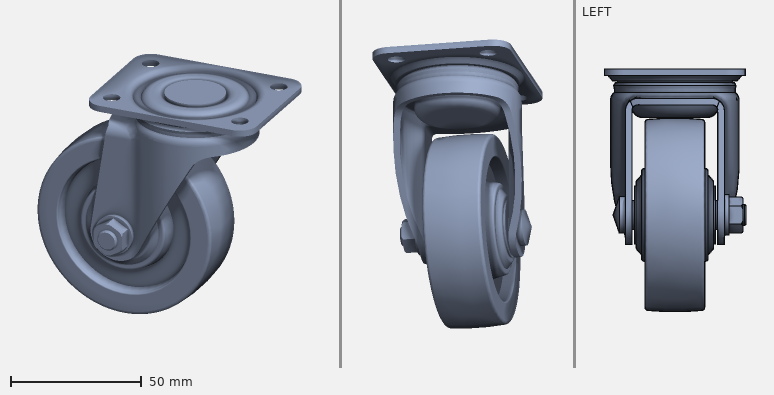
import cadquery as cq
import math

SWIVEL_X = 24.9
SHEET = 2.5

PLATE_TOP = 55.8
PLATE_BOTTOM = PLATE_TOP - SHEET
PLATE_LENGTH = 69.7
PLATE_WIDTH = 54.0
PLATE_CORNER_RADIUS = 7.2
MOUNT_HOLE_DIAMETER = 6.7
MOUNT_HOLE_SPACING_X = 53.9
MOUNT_HOLE_SPACING_Y = 35.9
DISH_DEPTH = 2.0
DISH_FLOOR = PLATE_TOP - DISH_DEPTH
DISH_BOTTOM = PLATE_BOTTOM - DISH_DEPTH
DISH_OUTER_RADIUS = 26.9
DISH_FLOOR_OUTER_RADIUS = 23.5
DISH_FLOOR_INNER_RADIUS = 20.8
CREST_OUTER_RADIUS = 17.2
CREST_INNER_RADIUS = 15.8
DISH_RIM_RADIUS_BELOW = 25.6
DISH_BASE_RADIUS_BELOW = 23.8
PIN_RADIUS = 11.8
PIN_GROOVE_DEPTH = 1.8
BEARING_NECK_RADIUS = 22.0

RACE_TOP = 50.6
RACE_TOP_RADIUS = 22.8
RACE_RIM_RADIUS = 23.4
RACE_RIM_Z = 49.4
RACE_NECK_RADIUS = 23.2
RACE_NECK_Z = 48.2
CROWN_TOP = 47.7
CROWN_RADIUS = 24.6
CROWN_FILLET = 3.9
SKIRT_BOTTOM = 39.1
BOWL_RADIUS = 16.6
BOWL_BOTTOM = 37.2
BOWL_FILLET = 4.4
SHOULDER_TOP = 44.6
LEG_OUTER_Y = 18.9
LEG_INNER_Y = LEG_OUTER_Y - SHEET
SHOULDER_BEND = 4.65
SIDE_BLEND = 7.75
SIDE_BLEND_INSIDE = 4.8
LEG_END_RADIUS = 10.85
LEG_END_CENTRE = (0.4, -0.5)
LEG_FRONT_TOP_X = -3.6
LEG_REAR_CORNER_X = 36.0
LEG_REAR_FILLET = 8.3
LIP_FRONT_X = -7.0
LIP_HALF_WIDTH = 17.4

TREAD_RADIUS = 37.1
TREAD_EDGE_RADIUS = 36.4
TREAD_FILLET = 1.3
WHEEL_HALF_WIDTH = 11.4
RECESS_LIP_RADIUS = 27.9
RECESS_LIP_FILLET = 0.6
RECESS_FLOOR_RADIUS = 26.8
RECESS_FLOOR_Y = 6.8
HUB_ROOT_RADIUS = 18.9
HUB_EDGE_RADIUS = 17.5
HUB_EDGE_FILLET = 1.0
HUB_FACE_Y = 12.7
HUB_CONE_ROOT_RADIUS = 15.3
HUB_CONE_TIP_RADIUS = 12.9
HUB_CONE_Y = 14.8
HUB_CONE_FILLET = 1.2
BEARING_RADIUS = 11.1
BEARING_Y = 15.5
SPACER_RADIUS = 5.6

AXLE_RADIUS = 4.1
AXLE_TIP_OVERHANG = 0.3
AXLE_TIP_Y = -PLATE_WIDTH / 2 - AXLE_TIP_OVERHANG
AXLE_TIP_CHAMFER = 0.6
HEAD_RADIUS = 7.0
HEAD_THICKNESS = 2.3
HEAD_CROWN = 2.4
WASHER_RADIUS = 7.75
WASHER_THICKNESS = 1.8
NUT_THICKNESS = 5.3
NUT_ACROSS_FLATS = 12.0
NUT_CORNER_RADIUS = NUT_ACROSS_FLATS / math.sqrt(3)
NUT_CHAMFER = 0.6
NUT_SIDES = 6
NUT_TURN = 180 / NUT_SIDES

FAR = 96.9
SEAM_MARGIN = 1.0


def swivel_plane():
    """Radius and height plane through the swivel axis."""
    return cq.Workplane("XZ", origin=(SWIVEL_X, 0, 0))


def spin(profile):
    """Revolve a closed radius and height profile about the vertical axis of its plane."""
    return profile.close().revolve(360, (0, 0), (0, 1))


def disc(radius, bottom, top):
    return cq.Workplane("XY", origin=(SWIVEL_X, 0, bottom)).circle(radius).extrude(top - bottom)


def y_cylinder(radius, start, end):
    """Cylinder on the wheel axle between two Y positions."""
    return cq.Workplane("XZ", origin=(0, start, 0)).circle(radius).extrude(start - end)


def convex_middle(crest, foot):
    """Middle of an arc that leaves its crest level and falls away to its foot."""
    run = foot[0] - crest[0]
    drop = crest[1] - foot[1]
    radius = (run**2 + drop**2) / (2 * drop)
    half_turn = math.atan2(drop, abs(run))
    side = math.copysign(1, run)
    return (
        crest[0] + side * radius * math.sin(half_turn),
        crest[1] - radius * (1 - math.cos(half_turn)),
    )


def make_plate():
    plate = (
        cq.Workplane("XY", origin=(SWIVEL_X, 0, PLATE_BOTTOM))
        .rect(PLATE_LENGTH, PLATE_WIDTH)
        .extrude(SHEET)
        .edges("|Z")
        .fillet(PLATE_CORNER_RADIUS)
        .faces(">Z")
        .workplane(origin=(SWIVEL_X, 0, 0))
        .rect(MOUNT_HOLE_SPACING_X, MOUNT_HOLE_SPACING_Y, forConstruction=True)
        .vertices()
        .hole(MOUNT_HOLE_DIAMETER)
    )
    underside = spin(
        swivel_plane()
        .moveTo(0, PLATE_BOTTOM)
        .lineTo(DISH_RIM_RADIUS_BELOW, PLATE_BOTTOM)
        .lineTo(DISH_BASE_RADIUS_BELOW, DISH_BOTTOM)
        .lineTo(BEARING_NECK_RADIUS, DISH_BOTTOM)
        .lineTo(BEARING_NECK_RADIUS, RACE_TOP)
        .lineTo(0, RACE_TOP)
    )
    pin = disc(PIN_RADIUS, BOWL_BOTTOM + SHEET, PLATE_BOTTOM)
    return plate.union(underside).union(pin).cut(ball_track()).cut(pin_groove())


def ball_track():
    """Annular trough pressed into the top of the plate."""
    outer_crest = (DISH_OUTER_RADIUS, PLATE_TOP)
    outer_foot = (DISH_FLOOR_OUTER_RADIUS, DISH_FLOOR)
    inner_foot = (DISH_FLOOR_INNER_RADIUS, DISH_FLOOR)
    inner_crest = (CREST_OUTER_RADIUS, PLATE_TOP)
    return spin(
        swivel_plane()
        .moveTo(*outer_crest)
        .threePointArc(convex_middle(outer_crest, outer_foot), outer_foot)
        .lineTo(*inner_foot)
        .threePointArc(convex_middle(inner_crest, inner_foot), inner_crest)
    )


def pin_groove():
    """Rounded groove between the swivel pin head and the crest around it."""
    crest = (CREST_INNER_RADIUS, PLATE_TOP)
    foot = (PIN_RADIUS, PLATE_TOP - PIN_GROOVE_DEPTH)
    return spin(
        swivel_plane()
        .moveTo(*crest)
        .threePointArc(convex_middle(crest, foot), foot)
        .lineTo(PIN_RADIUS, PLATE_TOP)
    )


def fork_form(inset, side_blend):
    """Solid inside the fork's outer skin (inset 0) or inside its inner skin (inset SHEET)."""
    leg_y = LEG_OUTER_Y - inset
    bottom = LEG_END_CENTRE[1] - 2 * LEG_END_RADIUS
    top = SHOULDER_TOP - inset
    legs = (
        cq.Workplane("XY", origin=(SWIVEL_X - FAR / 2, 0, bottom))
        .rect(FAR, 2 * leg_y)
        .extrude(top - bottom)
        .edges("|X and >Z")
        .fillet(SHOULDER_BEND - inset)
    )
    crown = (
        disc(CROWN_RADIUS - inset, bottom, CROWN_TOP - inset)
        .faces(">Z")
        .edges()
        .fillet(CROWN_FILLET - inset)
    )
    seam_x = SWIVEL_X - math.sqrt((CROWN_RADIUS - inset) ** 2 - leg_y**2)
    seams = cq.selectors.BoxSelector(
        (seam_x - SEAM_MARGIN, -FAR, bottom), (seam_x + SEAM_MARGIN, FAR, SHOULDER_TOP - SHOULDER_BEND)
    )
    return legs.union(crown).edges("|Z").edges(seams).fillet(side_blend)


def tangent_point(point, side):
    """Where a line from the point touches the rounded leg end, on its left (-1) or right (1)."""
    dx = point[0] - LEG_END_CENTRE[0]
    dz = point[1] - LEG_END_CENTRE[1]
    angle = math.atan2(dz, dx) - side * math.acos(LEG_END_RADIUS / math.hypot(dx, dz))
    return (
        LEG_END_CENTRE[0] + LEG_END_RADIUS * math.cos(angle),
        LEG_END_CENTRE[1] + LEG_END_RADIUS * math.sin(angle),
    )


def fork_side_outline():
    """Side outline of fork legs and skirt, extruded across the fork."""
    front_top = (LEG_FRONT_TOP_X, SHOULDER_TOP)
    rear_corner = (LEG_REAR_CORNER_X, SKIRT_BOTTOM)
    leg_bottom = (LEG_END_CENTRE[0], LEG_END_CENTRE[1] - LEG_END_RADIUS)
    outline = (
        cq.Workplane("XZ")
        .moveTo(LEG_FRONT_TOP_X, FAR)
        .lineTo(*front_top)
        .lineTo(*tangent_point(front_top, -1))
        .threePointArc(leg_bottom, tangent_point(rear_corner, 1))
        .lineTo(*rear_corner)
        .lineTo(FAR, SKIRT_BOTTOM)
        .lineTo(FAR, FAR)
        .close()
        .extrude(FAR / 2, both=True)
    )
    corner = cq.selectors.NearestToPointSelector((LEG_REAR_CORNER_X, 0, SKIRT_BOTTOM))
    return outline.edges("|Y").edges(corner).fillet(LEG_REAR_FILLET)


def front_lip_outline():
    """Bowed front edge of the shoulder, standing out ahead of the legs."""
    return (
        cq.Workplane("XY", origin=(0, 0, SHOULDER_TOP - SHOULDER_BEND))
        .moveTo(0, -LIP_HALF_WIDTH)
        .lineTo(LEG_FRONT_TOP_X, -LIP_HALF_WIDTH)
        .threePointArc((LIP_FRONT_X, 0), (LEG_FRONT_TOP_X, LIP_HALF_WIDTH))
        .lineTo(0, LIP_HALF_WIDTH)
        .close()
        .extrude(SHOULDER_BEND)
    )


def make_fork():
    outside = fork_form(0, SIDE_BLEND)
    inside = fork_form(SHEET, SIDE_BLEND_INSIDE)
    outline = fork_side_outline().union(front_lip_outline())
    shell = outside.cut(inside).intersect(outline)
    race = spin(
        swivel_plane()
        .moveTo(0, CROWN_TOP - SHEET)
        .lineTo(RACE_NECK_RADIUS - CROWN_FILLET, CROWN_TOP - SHEET)
        .lineTo(RACE_NECK_RADIUS, CROWN_TOP - SHEET / 2)
        .lineTo(RACE_NECK_RADIUS, RACE_NECK_Z)
        .lineTo(RACE_RIM_RADIUS, RACE_RIM_Z)
        .lineTo(RACE_TOP_RADIUS, RACE_TOP)
        .lineTo(0, RACE_TOP)
    )
    bowl = disc(BOWL_RADIUS, BOWL_BOTTOM, CROWN_TOP).faces("<Z").edges().fillet(BOWL_FILLET)
    pin_hole = disc(PIN_RADIUS, BOWL_BOTTOM + SHEET, RACE_TOP)
    axle_hole = y_cylinder(AXLE_RADIUS, LEG_OUTER_Y, -LEG_OUTER_Y)
    washer_seat = y_cylinder(WASHER_RADIUS, -LEG_OUTER_Y, -LEG_OUTER_Y - WASHER_THICKNESS)
    head_seat = y_cylinder(HEAD_RADIUS, LEG_OUTER_Y + HEAD_THICKNESS, LEG_OUTER_Y)
    fork = shell.union(race).union(bowl).cut(pin_hole).cut(axle_hole)
    return fork.cut(washer_seat).cut(head_seat)


def round_circles(wheel, radius, fillet):
    """Fillet both circular edges of the given radius, one on each side of the wheel."""
    circles = wheel.edges("%CIRCLE").filter(lambda edge: math.isclose(edge.radius(), radius))
    return circles.fillet(fillet)


def make_wheel():
    half_profile = [
        (TREAD_EDGE_RADIUS, WHEEL_HALF_WIDTH),
        (RECESS_LIP_RADIUS, WHEEL_HALF_WIDTH),
        (RECESS_FLOOR_RADIUS, RECESS_FLOOR_Y),
        (HUB_ROOT_RADIUS, RECESS_FLOOR_Y),
        (HUB_EDGE_RADIUS, HUB_FACE_Y),
        (HUB_CONE_ROOT_RADIUS, HUB_FACE_Y),
        (HUB_CONE_TIP_RADIUS, HUB_CONE_Y),
        (BEARING_RADIUS, HUB_CONE_Y),
        (BEARING_RADIUS, BEARING_Y),
        (SPACER_RADIUS, BEARING_Y),
        (SPACER_RADIUS, LEG_INNER_Y),
        (AXLE_RADIUS, LEG_INNER_Y),
    ]
    far_half = [(radius, -y) for radius, y in reversed(half_profile)]
    profile = (
        cq.Workplane("XY")
        .polyline(half_profile + far_half)
        .threePointArc((TREAD_RADIUS, 0), half_profile[0])
    )
    wheel = spin(profile)
    wheel = round_circles(wheel, TREAD_EDGE_RADIUS, TREAD_FILLET)
    wheel = round_circles(wheel, RECESS_LIP_RADIUS, RECESS_LIP_FILLET)
    wheel = round_circles(wheel, HUB_EDGE_RADIUS, HUB_EDGE_FILLET)
    return round_circles(wheel, HUB_CONE_TIP_RADIUS, HUB_CONE_FILLET)


def make_axle():
    nut_start = -LEG_OUTER_Y - WASHER_THICKNESS
    nut_end = nut_start - NUT_THICKNESS
    head_end = LEG_OUTER_Y + HEAD_THICKNESS
    shank = y_cylinder(AXLE_RADIUS, LEG_OUTER_Y, AXLE_TIP_Y).faces("<Y").chamfer(AXLE_TIP_CHAMFER)
    washer = y_cylinder(WASHER_RADIUS, -LEG_OUTER_Y, nut_start)
    head = spin(
        cq.Workplane("XY")
        .moveTo(0, LEG_OUTER_Y)
        .lineTo(HEAD_RADIUS, LEG_OUTER_Y)
        .lineTo(HEAD_RADIUS, head_end)
        .lineTo(0, head_end + HEAD_CROWN)
    )
    nut = (
        cq.Workplane("XZ", origin=(0, nut_start, 0))
        .polygon(NUT_SIDES, 2 * NUT_CORNER_RADIUS)
        .extrude(NUT_THICKNESS)
        .rotate((0, 0, 0), (0, 1, 0), NUT_TURN)
    )
    rounding = y_cylinder(NUT_CORNER_RADIUS, nut_start, nut_end).faces("<Y").chamfer(NUT_CHAMFER)
    return shank.union(head).union(washer).union(nut.intersect(rounding))


plate = make_plate().solids().val()
fork = make_fork().solids().val()
wheel = make_wheel().solids().val()
axle = make_axle().solids().val()

result = cq.Compound.makeCompound([plate, fork, wheel, axle])